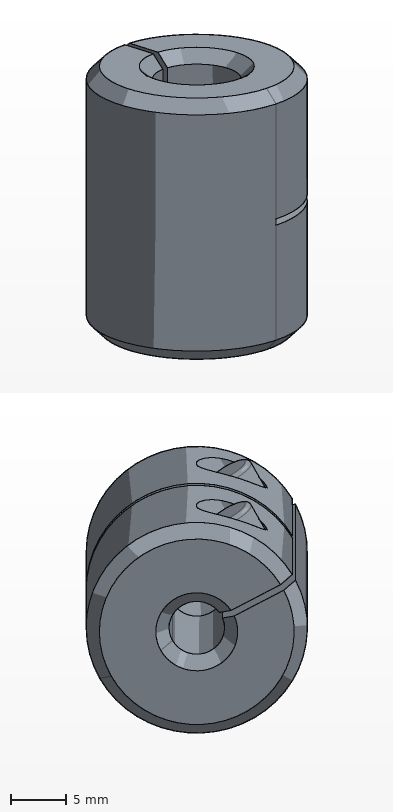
import cadquery as cq

length = 25
outer_diameter = 20
large_bore_diameter = 8
small_bore_diameter = 5
chamfer = 1.2
slot_width = 0.6

screw_x = -7
screw_z = length / 4
pocket_diameter = 4.5
pocket_floor_y = 3.12
head_diameter = 4.2
head_top_y = 6.8
head_fillet = 0.4

outer_radius = outer_diameter / 2
half_length = length / 2


def along_y(diameter, start_y, end_y, z):
    """Cylinder on a screw axis between two Y positions."""
    return cq.Workplane(
        cq.Solid.makeCylinder(
            diameter / 2, end_y - start_y, cq.Vector(screw_x, start_y, z), cq.Vector(0, 1, 0)
        )
    )


def bored_sleeve():
    """Revolved sleeve: large bore above mid-height, small bore below, all rims chamfered."""
    large_radius = large_bore_diameter / 2
    small_radius = small_bore_diameter / 2
    profile = [
        (small_radius, 0),
        (large_radius, 0),
        (large_radius, half_length - chamfer),
        (large_radius + chamfer, half_length),
        (outer_radius - chamfer, half_length),
        (outer_radius, half_length - chamfer),
        (outer_radius, chamfer - half_length),
        (outer_radius - chamfer, -half_length),
        (small_radius + chamfer, -half_length),
        (small_radius, chamfer - half_length),
    ]
    return cq.Workplane("XZ").polyline(profile).close().revolve(360, (0, 0), (0, 1))


axial_slot = cq.Workplane("XY").box(
    outer_radius, slot_width, length, centered=(False, True, True)
).translate((-outer_radius, 0, 0))

cross_slot = cq.Workplane("XY").box(
    outer_diameter, outer_radius, slot_width, centered=(True, False, True)
)

result = bored_sleeve().cut(axial_slot).cut(cross_slot)

for z in (-screw_z, screw_z):
    pocket = along_y(pocket_diameter, pocket_floor_y, outer_radius, z)
    head = along_y(head_diameter, pocket_floor_y, head_top_y, z)
    head = head.faces(">Y").edges().fillet(head_fillet)
    result = result.cut(pocket).union(head)